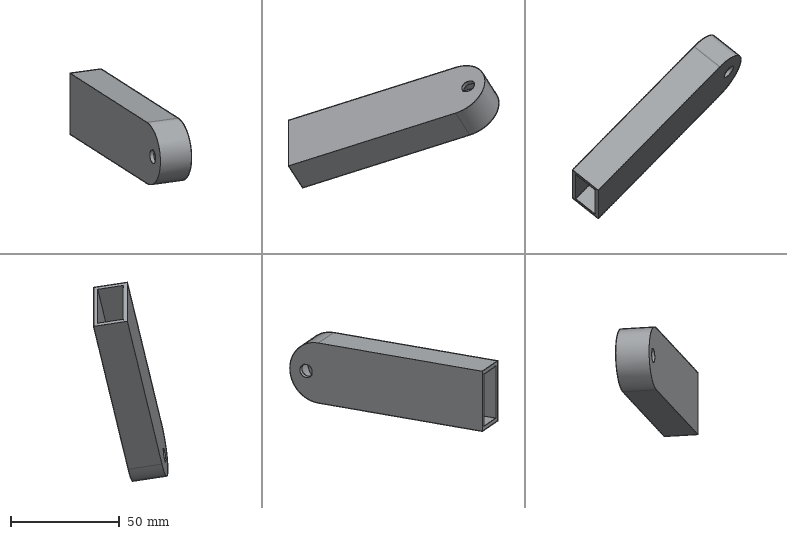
import cadquery as cq

length = 99.3
width = 15.9
height = 29.5
wall = 2.0
hole_diameter = 6.4
hole_to_tip = 8.4

end_radius = height / 2
straight_length = length - end_radius


def rounded_bar(radius, thickness):
    """Bar open end at X = 0, with a half-round far end of the given radius."""
    return (
        cq.Workplane("XZ")
        .moveTo(0, -radius)
        .lineTo(straight_length, -radius)
        .threePointArc((straight_length + radius, 0), (straight_length, radius))
        .lineTo(0, radius)
        .close()
        .extrude(thickness / 2, both=True)
    )


outer = rounded_bar(end_radius, width)
cavity = rounded_bar(end_radius - wall, width - 2 * wall)

pin_hole = (
    cq.Workplane("XZ")
    .center(length - hole_to_tip, 0)
    .circle(hole_diameter / 2)
    .extrude(width, both=True)
)

result = outer.cut(cavity).cut(pin_hole)